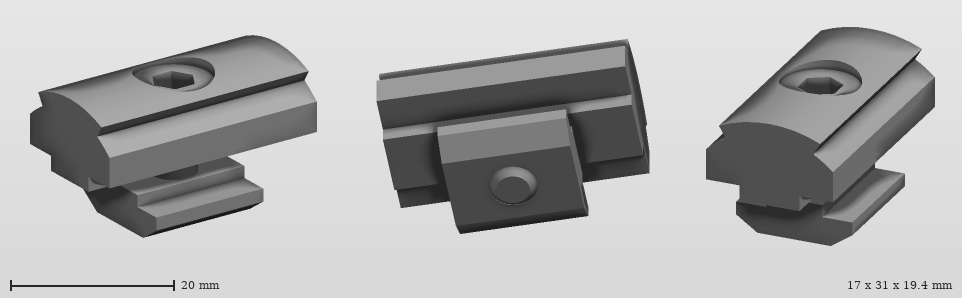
import cadquery as cq
import math

body_length = 31.0
body_width = 17.0
crown_radius = 16.5
crown_width = 13.58
notch_width = 11.72
notch_depth = 3.0
shoulder_radius = 12.5
shoulder_depth = 4.93
wing_bottom_depth = 9.0
tongue_width = 8.0
tongue_bottom_depth = 11.0

nut_length = 16.0
nut_width = 15.55
nut_neck_width = 7.6
nut_top_depth = 13.33
nut_flange_depth = 14.95
nut_bevel_depth = 16.68
nut_bottom_depth = 18.63
nut_bottom_width = 9.85

head_diameter = 10.0
head_clearance = 0.1
head_top_depth = 1.27
head_height = 6.0
shank_diameter = 6.0
screw_bottom_depth = 19.4
tip_chamfer = 0.93
hex_across_flats = 5.0
hex_depth = 4.0

head_seat_depth = head_top_depth + head_height


def vertical_cylinder(diameter, top_depth, bottom_depth):
    """Cylinder on the Z axis between two depths."""
    return (
        cq.Workplane("XY")
        .workplane(offset=-bottom_depth)
        .circle(diameter / 2)
        .extrude(bottom_depth - top_depth)
    )


def arc_depth(radius, half_width):
    """Drop of an arc centred on the symmetry plane below its own apex."""
    return radius - math.sqrt(radius**2 - half_width**2)


def make_clamp_body():
    """Domed bar with undercut notches, a lower tongue and a counterbored screw hole."""
    half_body = body_width / 2
    half_crown = crown_width / 2
    half_notch = notch_width / 2
    half_tongue = tongue_width / 2
    crown_edge_depth = arc_depth(crown_radius, half_crown)

    shoulder_apex_depth = shoulder_depth - arc_depth(shoulder_radius, half_body)
    shoulder_middle = (half_body + half_notch) / 2
    shoulder_middle_depth = shoulder_apex_depth + arc_depth(shoulder_radius, shoulder_middle)

    bar = (
        cq.Workplane("XZ")
        .moveTo(-half_crown, -crown_edge_depth)
        .threePointArc((0, 0), (half_crown, -crown_edge_depth))
        .lineTo(half_notch, -notch_depth)
        .threePointArc((shoulder_middle, -shoulder_middle_depth), (half_body, -shoulder_depth))
        .lineTo(half_body, -wing_bottom_depth)
        .lineTo(half_tongue, -wing_bottom_depth)
        .lineTo(half_tongue, -tongue_bottom_depth)
        .lineTo(-half_tongue, -tongue_bottom_depth)
        .lineTo(-half_tongue, -wing_bottom_depth)
        .lineTo(-half_body, -wing_bottom_depth)
        .lineTo(-half_body, -shoulder_depth)
        .threePointArc((-shoulder_middle, -shoulder_middle_depth), (-half_notch, -notch_depth))
        .close()
        .extrude(body_length / 2, both=True)
    )
    counterbore = vertical_cylinder(head_diameter + 2 * head_clearance, 0, head_seat_depth)
    shank_hole = vertical_cylinder(shank_diameter, 0, tongue_bottom_depth)
    return bar.cut(counterbore).cut(shank_hole)


def make_nut():
    """T-shaped sliding nut with bevelled lower edges and a through hole."""
    right_side = [
        (nut_neck_width / 2, -nut_top_depth),
        (nut_neck_width / 2, -nut_flange_depth),
        (nut_width / 2, -nut_flange_depth),
        (nut_width / 2, -nut_bevel_depth),
        (nut_bottom_width / 2, -nut_bottom_depth),
    ]
    left_side = [(-x, z) for x, z in reversed(right_side)]
    blank = (
        cq.Workplane("XZ")
        .polyline(right_side + left_side)
        .close()
        .extrude(nut_length / 2, both=True)
    )
    return blank.cut(vertical_cylinder(shank_diameter, nut_top_depth, nut_bottom_depth))


def make_screw():
    """Cylinder-head screw with a hex socket and a chamfered tip."""
    head = vertical_cylinder(head_diameter, head_top_depth, head_seat_depth)
    shank = vertical_cylinder(shank_diameter, head_seat_depth, screw_bottom_depth)
    shank = shank.faces("<Z").chamfer(tip_chamfer)
    socket = (
        cq.Workplane("XY")
        .workplane(offset=-head_top_depth - hex_depth)
        .polygon(6, hex_across_flats, circumscribed=True)
        .extrude(hex_depth)
    )
    return head.union(shank).cut(socket)


clamp_body = make_clamp_body()
nut = make_nut()
screw = make_screw()

result = cq.Compound.makeCompound([clamp_body.val(), nut.val(), screw.val()])